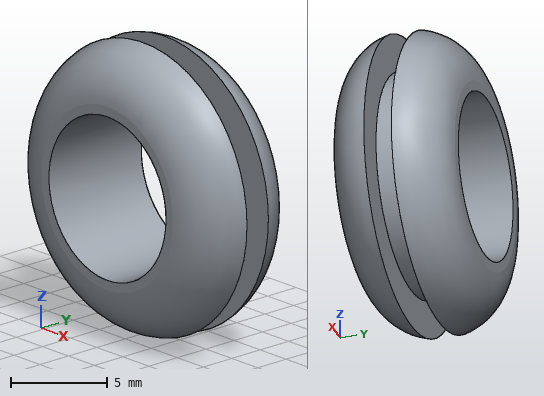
import cadquery as cq
import math

outer_diameter = 16.0
groove_diameter = 12.0
face_diameter = 10.08
bore_diameter = 9.0
total_width = 6.5
groove_width = 1.5
crown_radius = 3.2

outer_radius = outer_diameter / 2
groove_radius = groove_diameter / 2
face_radius = face_diameter / 2
bore_radius = bore_diameter / 2
half_width = total_width / 2
half_groove = groove_width / 2


def crown_midpoint():
    """Middle of the rounded flange arc, in (radius, axial position)."""
    run = outer_radius - face_radius
    rise = half_width - half_groove
    chord = math.hypot(run, rise)
    bulge = crown_radius - math.sqrt(crown_radius**2 - (chord / 2) ** 2)
    mid_radius = (outer_radius + face_radius) / 2 + bulge * rise / chord
    mid_axial = (half_width + half_groove) / 2 + bulge * run / chord
    return mid_radius, mid_axial


crown_r, crown_y = crown_midpoint()
result = (
    cq.Workplane("XY")
    .moveTo(bore_radius, -half_width)
    .lineTo(face_radius, -half_width)
    .threePointArc((crown_r, -crown_y), (outer_radius, -half_groove))
    .lineTo(groove_radius, -half_groove)
    .lineTo(groove_radius, half_groove)
    .lineTo(outer_radius, half_groove)
    .threePointArc((crown_r, crown_y), (face_radius, half_width))
    .lineTo(bore_radius, half_width)
    .close()
    .revolve(360, (0, 0, 0), (0, 1, 0))
)